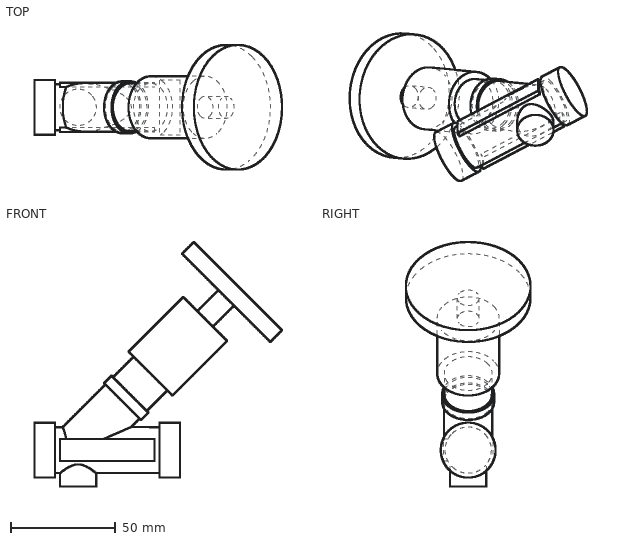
import cadquery as cq
import math

run_length = 70.0
cap_diameter = 26.44
cap_length = 10.0
pipe_diameter = 22.21

pad_length = 45.5
pad_height = 10.58
pad_span = 23.8

drain_diameter = 17.5
drain_reach = 17.5
drain_x = -pad_length / 2 + drain_diameter / 2

stem_angle = 45.0
stem_origin_x = -16.0
top_height = 100.0

branch_diameter = 23.27
collar_diameter = 25.12
neck_diameter = 23.0
sleeve_diameter = 29.88
spindle_diameter = 10.58
wheel_diameter = 60.0
wheel_thickness = 8.0

rise = math.sin(math.radians(stem_angle))
run = math.cos(math.radians(stem_angle))
wheel_top = (top_height - wheel_diameter / 2 * run) / rise
wheel_bottom = wheel_top - wheel_thickness
collar_bottom = 33.0
collar_top = 38.0
sleeve_bottom = 52.0
sleeve_top = 89.1
branch_start = 0.0


def run_cylinder(diameter, start_x, end_x):
    """Cylinder on the run pipe axis."""
    plane = cq.Workplane("YZ", origin=(start_x, 0, 0))
    return plane.circle(diameter / 2).extrude(end_x - start_x)


def stem_cylinder(diameter, start, end):
    """Cylinder on the stem axis between two stations."""
    plane = cq.Plane(origin=(stem_origin_x, 0, 0), xDir=(0, 1, 0), normal=(run, 0, rise))
    return cq.Workplane(plane).workplane(offset=start).circle(diameter / 2).extrude(end - start)


def make_run():
    """Pipe with a larger cap at each end."""
    half = run_length / 2
    body = run_cylinder(pipe_diameter, -half, half)
    body = body.union(run_cylinder(cap_diameter, -half, -half + cap_length))
    return body.union(run_cylinder(cap_diameter, half - cap_length, half))


def make_pads():
    """One bar through the pipe forms the pads on both sides."""
    return cq.Workplane("XY").box(pad_length, pad_span, pad_height)


def make_drain():
    """Round boss from the pipe axis downward."""
    return cq.Workplane("XY").center(drain_x, 0).circle(drain_diameter / 2).extrude(-drain_reach)


def make_stem():
    """Branch, collar, neck, sleeve, spindle and handwheel stacked on the stem axis."""
    sections = [
        (branch_diameter, branch_start, collar_bottom),
        (collar_diameter, collar_bottom, collar_top),
        (neck_diameter, collar_top, sleeve_bottom),
        (sleeve_diameter, sleeve_bottom, sleeve_top),
        (spindle_diameter, sleeve_top, wheel_bottom),
        (wheel_diameter, wheel_bottom, wheel_top),
    ]
    stem = cq.Workplane()
    for diameter, start, end in sections:
        stem = stem.add(stem_cylinder(diameter, start, end))
    return stem.combine()


result = make_run().union(make_pads()).union(make_drain()).union(make_stem())